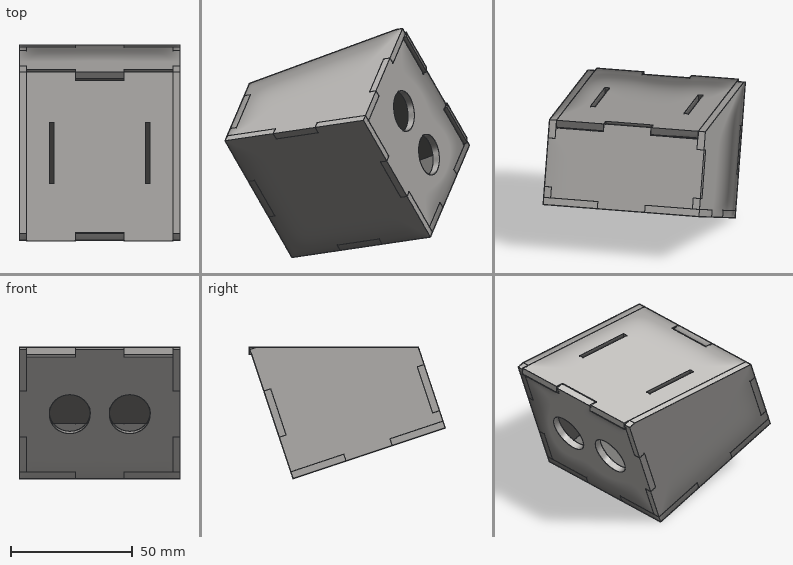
import cadquery as cq
import math


width = 66.0
base_length = 66.0
front_height = 57.0
back_height = 35.0
sheet = 3.0
tab_width = 20.0

hole_diameter = 16.86
hole_spacing = 24.65

slot_width = 2.0
slot_length = 25.0
slot_spacing = 39.5
slot_setback = 36.15
lid_notch_depth = 3.5

slope = (front_height - back_height) / base_length
tilt = math.atan(slope)
inner_width = width - 2 * sheet
lid_drop = sheet / math.cos(tilt)
front_panel_top = front_height - slope * sheet
front_ledge = front_panel_top - lid_drop
back_ledge = back_height - lid_drop
front_tab_middle = front_panel_top / 2
back_tab_middle = back_height / 2
lid_length = base_length / math.cos(tilt)
lid_front = -front_height * math.sin(tilt)
lid_back = lid_front + lid_length
lid_top = front_height * math.cos(tilt)
lid_bottom = lid_top - sheet

across_inside = (-inner_width / 2, inner_width / 2)
across_box = (-width / 2, width / 2)
across_tab = (-tab_width / 2, tab_width / 2)
side_walls = [(-width / 2, -inner_width / 2), (inner_width / 2, width / 2)]
front_wall = (0, sheet)
back_wall = (base_length - sheet, base_length)
floor = (0, sheet)


def span(size, middle):
    """Range of a given size about a middle."""
    return (middle - size / 2, middle + size / 2)


def block(x_range, y_range, z_range):
    """Box that fills the given ranges along X, Y and Z."""
    ranges = (x_range, y_range, z_range)
    sizes = [high - low for low, high in ranges]
    corner = tuple(low for low, high in ranges)
    return cq.Workplane("XY").box(*sizes, centered=False).translate(corner)


def lean(body):
    """Tip a body, built on a level base, forward about the lower front edge."""
    return body.rotate((0, 0, 0), (1, 0, 0), math.degrees(tilt))


def make_end_panel(wall, ledge, top, tab_middle):
    """Upright panel with one tab on each of its four edges."""
    body = block(across_inside, wall, (sheet, ledge))
    side_tabs = block(across_box, wall, span(tab_width, tab_middle))
    upright_tabs = block(across_tab, wall, (0, top))
    return body.union(side_tabs).union(upright_tabs)


def make_front_panel():
    """Taller end panel with a pair of round holes at mid height."""
    panel = make_end_panel(front_wall, front_ledge, front_panel_top, front_tab_middle)
    holes = (
        cq.Workplane("XZ")
        .pushPoints([(x, front_tab_middle) for x in span(hole_spacing, 0)])
        .circle(hole_diameter / 2)
        .extrude(-sheet)
    )
    return lean(panel.cut(holes))


def make_back_panel():
    """Shorter end panel, plain."""
    return lean(make_end_panel(back_wall, back_ledge, back_height, back_tab_middle))


def make_base():
    """Square floor with a notch at the middle of each edge."""
    base = block(across_box, (0, base_length), floor)
    for wall in (front_wall, back_wall):
        base = base.cut(block(across_tab, wall, floor))
    for side in side_walls:
        base = base.cut(block(side, span(tab_width, base_length / 2), floor))
    return lean(base)


def make_side_panel(side):
    """Tapered panel, notched for the end-panel tabs, with one tab into the base."""
    outline = [
        (0, 0),
        (base_length, 0),
        (base_length, back_height),
        (sheet, front_panel_top),
        (0, front_panel_top),
    ]
    panel = cq.Workplane("YZ").polyline(outline).close().extrude(sheet).translate((side[0], 0, 0))
    panel = panel.cut(block(side, front_wall, span(tab_width, front_tab_middle)))
    panel = panel.cut(block(side, back_wall, span(tab_width, back_tab_middle)))
    base_tab = span(tab_width, base_length / 2)
    for strip in ((0, base_tab[0]), (base_tab[1], base_length)):
        panel = panel.cut(block(side, strip, floor))
    return lean(panel)


def make_lid(front_panel):
    """Level top with two slots, notched for the upright tabs of the end panels."""
    thickness = (lid_bottom, lid_top)
    lid = block(across_inside, (lid_front, lid_back), thickness)
    front_notch = (lid_front, lid_front + lid_notch_depth)
    back_notch = (lid_back - lid_notch_depth, lid_back)
    for notch in (front_notch, back_notch):
        lid = lid.cut(block(across_tab, notch, thickness))
    slot = span(slot_length, lid_front + slot_setback)
    for x in span(slot_spacing, 0):
        lid = lid.cut(block(span(slot_width, x), slot, thickness))
    return lid.cut(front_panel)


base = make_base()
front_panel = make_front_panel()
back_panel = make_back_panel()
side_panels = [make_side_panel(side) for side in side_walls]
lid = make_lid(front_panel)

bodies = [base, front_panel, back_panel, *side_panels, lid]
result = cq.Compound.makeCompound([body.solids().val() for body in bodies])